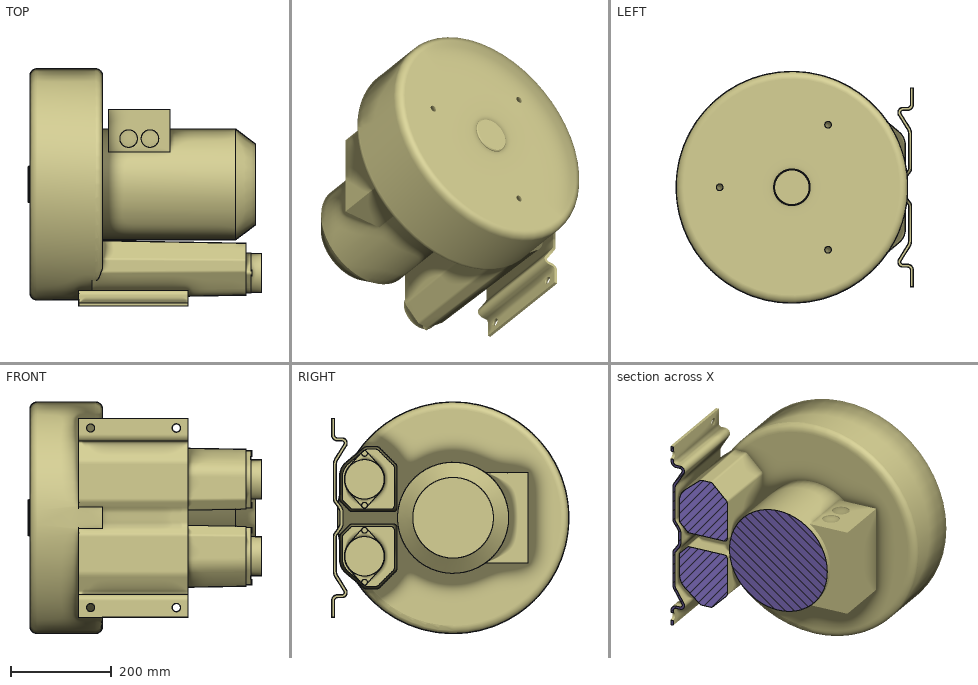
import cadquery as cq
import math


CASING_RADIUS = 229.5
CASING_LENGTH = 144.5
CASING_FILLET = 15.0
HUB_RADIUS = 36.0
HUB_HEIGHT = 3.8
HUB_CHAMFER = 2.0
COVER_HOLE_COUNT = 3
COVER_HOLE_CIRCLE_RADIUS = 143.0
COVER_HOLE_RADIUS = 6.5
COVER_HOLE_DEPTH = 19.0
COVER_HOLE_TIP_DEPTH = 3.8

SILENCER_START_X = 123.5
SILENCER_END_X = 428.5
SILENCER_DRAFT = 1.0
SILENCER_FRONT_Y = -225.0
SILENCER_BACK_Y = -111.0
SILENCER_OUTER_Z = 141.0
SILENCER_INNER_Z = 11.8
FRONT_SLOPE_ANGLE = 40.0
FRONT_SLOPE_START_Z = 99.5
FRONT_SLOPE_RADIUS = 35.0
INNER_CHAMFER = 21.5
BACK_CHAMFER = 36.5
SILENCER_EDGE_RADIUS = 7.0

PORT_Y = -175.5
PORT_Z = 76.0
PORT_FLANGE_THICKNESS = 9.5
PORT_FLANGE_RADIUS = 40.0
PORT_LUG_RADIUS = 5.5
PORT_LUG_OFFSET = 51.5
PORT_LUG_THICKNESS = 11.5
PIPE_RADIUS = 39.0
PIPE_END_X = 459.0

MOTOR_RADIUS = 110.0
MOTOR_CONE_START_X = 407.5
MOTOR_END_X = 447.5
MOTOR_END_RADIUS = 80.0
BOX_START_X = 155.7
BOX_LENGTH = 122.5
BOX_FAR_Y = 148.5
BOX_HALF_HEIGHT = 89.5
ENTRY_RADIUS = 17.5
ENTRY_DEPTH = 2.0
ENTRY_Y = 91.0
ENTRY_XS = (195.5, 238.0)

SHEET_THICKNESS = 6.0
BEND_RADIUS = 6.0
WIDE_BEND_RADIUS = 14.5
FOLD_BEND_RADIUS = 4.0
BRACKET_START_X = 97.0
BRACKET_LENGTH = 217.0
BRACKET_HALF_HEIGHT = 197.0
FLANGE_OUTER_Y = -241.0
PLATE_OUTER_Y = -237.0
WEB_INNER_Y = -218.0
WEB_TOP_Z = 16.0
STEP_Z = 155.5
FOLD_CORNER_Y = -207.0
PLATE_TOP_Z = 111.5
PLATE_BOTTOM_Z = 34.5
MOUNT_HOLE_RADIUS = 8.0
MOUNT_HOLE_Z = 178.0
MOUNT_HOLE_INSET = 23.5


def make_drilled_hole(y, z):
    """Blind hole with a conical tip, running in +X from the casing's front face."""
    profile = [
        (0, 0),
        (0, COVER_HOLE_RADIUS),
        (COVER_HOLE_DEPTH, COVER_HOLE_RADIUS),
        (COVER_HOLE_DEPTH + COVER_HOLE_TIP_DEPTH, 0),
    ]
    hole = cq.Workplane("XY").polyline(profile).close().revolve(360, (0, 0), (1, 0))
    return hole.translate((0, y, z))


def make_casing():
    """Rounded disc with a low hub and drilled holes in its front face."""
    casing = cq.Workplane("YZ").circle(CASING_RADIUS).extrude(CASING_LENGTH)
    casing = casing.edges().fillet(CASING_FILLET)
    hub = cq.Workplane("YZ").circle(HUB_RADIUS).extrude(-HUB_HEIGHT)
    hub = hub.faces("<X").chamfer(HUB_CHAMFER)
    casing = casing.union(hub)

    for index in range(COVER_HOLE_COUNT):
        angle = math.radians(index * 360 / COVER_HOLE_COUNT)
        y = COVER_HOLE_CIRCLE_RADIUS * math.cos(angle)
        z = COVER_HOLE_CIRCLE_RADIUS * math.sin(angle)
        casing = casing.cut(make_drilled_hole(y, z))
    return casing


def make_silencer():
    """Upper silencer: drafted box with sloped corners, a flange and a pipe stub."""
    slope_run = (SILENCER_OUTER_Z - FRONT_SLOPE_START_Z) / math.tan(math.radians(FRONT_SLOPE_ANGLE))
    front_slope_start = (SILENCER_FRONT_Y, FRONT_SLOPE_START_Z)
    section = cq.Sketch().polygon([
        front_slope_start,
        (SILENCER_FRONT_Y + slope_run, SILENCER_OUTER_Z),
        (SILENCER_BACK_Y - BACK_CHAMFER, SILENCER_OUTER_Z),
        (SILENCER_BACK_Y, SILENCER_OUTER_Z - BACK_CHAMFER),
        (SILENCER_BACK_Y, SILENCER_INNER_Z),
        (SILENCER_FRONT_Y + INNER_CHAMFER, SILENCER_INNER_Z),
        (SILENCER_FRONT_Y, SILENCER_INNER_Z + INNER_CHAMFER),
        front_slope_start,
    ])
    body = (
        cq.Workplane("YZ", origin=(SILENCER_START_X, 0, 0))
        .placeSketch(section)
        .extrude(SILENCER_END_X - SILENCER_START_X, taper=SILENCER_DRAFT)
    )
    long_edges = cq.selectors.StringSyntaxSelector("not (<X or >X)")
    mid_x = (SILENCER_START_X + SILENCER_END_X) / 2
    front_slope_edge = cq.selectors.NearestToPointSelector((mid_x, *front_slope_start))
    body = body.edges(long_edges - front_slope_edge).fillet(SILENCER_EDGE_RADIUS)
    body = body.edges(front_slope_edge).fillet(FRONT_SLOPE_RADIUS)
    return body.union(make_port())


def make_port():
    """Lozenge flange with a raised lug at each tip and a round pipe stub."""
    end_face = cq.Workplane("YZ", origin=(SILENCER_END_X, PORT_Y, PORT_Z))
    outline = cq.Sketch().arc((0, 0), PORT_FLANGE_RADIUS, 0, 360)
    port = end_face.circle(PIPE_RADIUS).extrude(PIPE_END_X - SILENCER_END_X)
    for side in (-1, 1):
        lug_center = (0, side * PORT_LUG_OFFSET)
        outline = outline.arc(lug_center, PORT_LUG_RADIUS, 0, 360)
        lug = end_face.center(*lug_center).circle(PORT_LUG_RADIUS).extrude(PORT_LUG_THICKNESS)
        port = port.union(lug)
    flange = end_face.placeSketch(outline.hull()).extrude(PORT_FLANGE_THICKNESS)
    return port.union(flange)


def make_bridge():
    """Square-edged piece of the casing rim that joins the two silencers."""
    length = CASING_LENGTH - SILENCER_START_X
    start_face = cq.Workplane("YZ", origin=(SILENCER_START_X, 0, 0))
    rim = start_face.circle(CASING_RADIUS).extrude(length)
    depth = CASING_RADIUS + SILENCER_BACK_Y
    height = 2 * (SILENCER_INNER_Z + INNER_CHAMFER)
    block = start_face.center(SILENCER_BACK_Y - depth / 2, 0).rect(depth, height).extrude(length)
    return rim.intersect(block)


def make_housing(bracket):
    """Casing with both silencers, and a recess where the bracket's web enters the rim."""
    upper_silencer = make_silencer()
    lower_silencer = upper_silencer.mirror("XY")
    housing = make_casing().union(upper_silencer).union(lower_silencer).union(make_bridge())
    return housing.cut(bracket)


def make_motor():
    """Motor barrel with a tapered end and the terminal box on its side."""
    profile = [
        (CASING_LENGTH, 0),
        (CASING_LENGTH, MOTOR_RADIUS),
        (MOTOR_CONE_START_X, MOTOR_RADIUS),
        (MOTOR_END_X, MOTOR_END_RADIUS),
        (MOTOR_END_X, 0),
    ]
    barrel = cq.Workplane("XY").polyline(profile).close().revolve(360, (0, 0), (1, 0))
    box_near_y = math.sqrt(MOTOR_RADIUS**2 - BOX_HALF_HEIGHT**2)
    box = (
        cq.Workplane("XY", origin=(BOX_START_X, box_near_y, -BOX_HALF_HEIGHT))
        .box(BOX_LENGTH, BOX_FAR_Y - box_near_y, 2 * BOX_HALF_HEIGHT, centered=False)
    )
    entries = (
        cq.Workplane("XY", origin=(0, 0, BOX_HALF_HEIGHT))
        .pushPoints([(x, ENTRY_Y) for x in ENTRY_XS])
        .circle(ENTRY_RADIUS)
        .extrude(-ENTRY_DEPTH)
    )
    return barrel.union(box).cut(entries)


def make_bracket():
    """Bent sheet: two drilled flanges, two plates and a set-back web between them."""
    half_sheet = SHEET_THICKNESS / 2
    flange_y = FLANGE_OUTER_Y + half_sheet
    plate_y = PLATE_OUTER_Y + half_sheet
    web_y = WEB_INNER_Y - half_sheet
    top = (flange_y, BRACKET_HALF_HEIGHT)
    bends = [
        ((flange_y, STEP_Z), BEND_RADIUS),
        ((FOLD_CORNER_Y, STEP_Z), FOLD_BEND_RADIUS),
        ((plate_y, PLATE_TOP_Z), WIDE_BEND_RADIUS),
        ((plate_y, PLATE_BOTTOM_Z), BEND_RADIUS),
        ((web_y, WEB_TOP_Z), WIDE_BEND_RADIUS),
    ]
    upper_half = [top] + [corner for corner, radius in bends]
    lower_half = [(y, -z) for y, z in reversed(upper_half)]
    mid_x = BRACKET_START_X + BRACKET_LENGTH / 2
    points = [cq.Vector(mid_x, y, z) for y, z in upper_half + lower_half]
    mid_line = cq.Wire.makePolygon(points)
    for (y, z), radius in bends:
        for side in (-1, 1):
            corner = cq.Vector(mid_x, y, side * z)
            vertex = min(mid_line.Vertices(), key=lambda v: (v.Center() - corner).Length)
            mid_line = mid_line.fillet(radius + half_sheet, [vertex])
    sheet = (
        cq.Workplane("XY", origin=(mid_x, flange_y, BRACKET_HALF_HEIGHT))
        .rect(BRACKET_LENGTH, SHEET_THICKNESS)
        .sweep(mid_line)
    )
    hole_offset_x = BRACKET_LENGTH / 2 - MOUNT_HOLE_INSET
    holes = (
        cq.Workplane("XZ", origin=(mid_x, flange_y, 0))
        .rect(2 * hole_offset_x, 2 * MOUNT_HOLE_Z, forConstruction=True)
        .vertices()
        .circle(MOUNT_HOLE_RADIUS)
        .extrude(half_sheet, both=True)
    )
    return sheet.cut(holes)


bracket = make_bracket()
motor = make_motor()
housing = make_housing(bracket)
result = cq.Compound.makeCompound([housing.val(), motor.val(), bracket.val()])